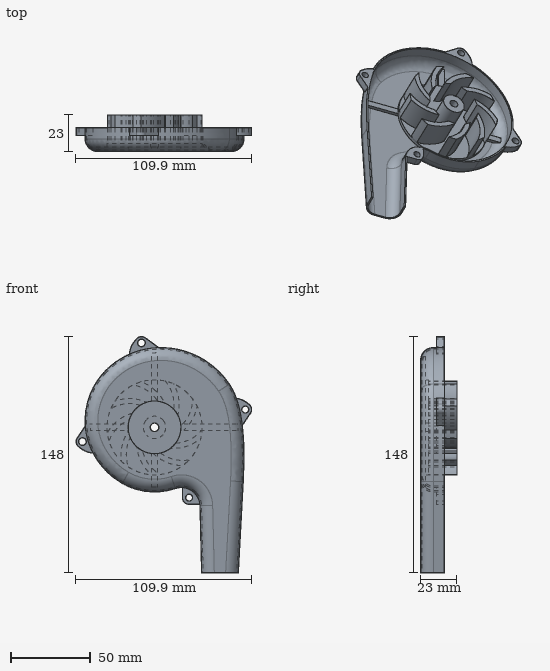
import cadquery as cq
import math


casing_depth = 15.0
wall = 1.0
front_round = 8.0
inlet_radius = 16.5
rib_width = 4.0
rib_height = 2.0
rib_length = 120.0

scroll_start_radius = 40.5
scroll_growth = 0.0715
scroll_start_angle = 240
scroll_end_angle = 30
spiral_turn = scroll_start_angle - scroll_end_angle
spiral_ease = 40
spiral_points = 20
outlet_end_z = -91.15
outlet_outer_x = 52.5
outer_wall_top_z = -34.0
outer_wall_slope = 0.054
bend_radius = 11.6
bend_center_x = 16.8
inner_wall_angle = math.radians(1.4)

ear_thickness = 5.0
ear_tip_radius = 4.0
ear_base_drop = 5.0
ear_root_drop = 8.0
ear_bulge = (-5.7, 0.1)
ear_bowed_base = 8.4
rim_ears = [(53.5, 98.8, 4.6), (46.0, 191.2, 4.6), (57.9, 11.1, 4.2)]
bend_ear_hole = (21.65, -44.0)
bend_ear_hole_diameter = 4.2
bend_ear_corner_radius = 4.25
bend_ear_size = 12.0

impeller_radius = 59.53 / 2
impeller_back = 23.0
impeller_front = wall + rib_height
backplate_thickness = 2.0
hub_diameter = 14.0
shaft_hole_diameter = 5.2
blade_count = 9
blade_root_radius = 16.5
blade_tip_angle = 36.8
blade_thickness = 3.2
blade_outer_arc = 26.4
blade_arc_distance = 17.85
blade_arc_angle = 51.1


def front_plane(y):
    """X-Z sketch plane at depth y; extruding by a negative length runs toward +Y."""
    return cq.Workplane("XZ", origin=(0, y, 0))


def polar(radius, degrees, center=(0, 0)):
    angle = math.radians(degrees)
    return (center[0] + radius * math.cos(angle), center[1] + radius * math.sin(angle))


def disc(radius, y_front, y_back):
    return front_plane(y_front).circle(radius).extrude(y_front - y_back)


def scroll_radius(angle):
    """Outer radius of the spiral: the growth builds up evenly, then stays constant."""
    turned = scroll_start_angle - angle
    if turned < spiral_ease:
        return scroll_start_radius + scroll_growth * turned**2 / (2 * spiral_ease)
    return scroll_start_radius + scroll_growth * (turned - spiral_ease / 2)


def scroll_outline(inset):
    """Closed scroll-and-duct outline, moved inward by inset except at the outlet end."""
    start_radius = scroll_start_radius - inset

    center_distance = scroll_start_radius + bend_radius
    bend_center = (bend_center_x, -math.sqrt(center_distance**2 - bend_center_x**2))
    contact_angle = math.degrees(math.atan2(bend_center[1], bend_center[0]))
    wall_degrees = math.degrees(inner_wall_angle)
    radius = bend_radius + inset
    bend_start = polar(radius, wall_degrees, bend_center)
    bend_middle = polar(radius, (wall_degrees + contact_angle + 180) / 2, bend_center)
    bend_end = polar(start_radius, contact_angle)
    inner_end_x = bend_start[0] + (bend_start[1] - outlet_end_z) * math.tan(inner_wall_angle)

    round_end = polar(start_radius, scroll_start_angle)
    round_middle = polar(start_radius, (contact_angle + scroll_start_angle - 360) / 2)

    def spiral(angle):
        return polar(scroll_radius(angle) - inset, angle)

    def spiral_point(turned):
        return (*spiral(scroll_start_angle - turned), 0)

    end_radius = scroll_radius(scroll_end_angle) - inset
    spiral_lead = math.degrees(math.atan(math.degrees(scroll_growth) / end_radius))
    spiral_end = spiral(scroll_end_angle)
    spiral_end_tangent = polar(1, scroll_end_angle - 90 + spiral_lead)
    wall_tangent = (-outer_wall_slope, -1)
    outer_top_x = outlet_outer_x - inset + outer_wall_slope * (outer_wall_top_z - outlet_end_z)
    outer_top = (outer_top_x, outer_wall_top_z)

    return (
        front_plane(0)
        .moveTo(inner_end_x, outlet_end_z)
        .lineTo(*bend_start)
        .threePointArc(bend_middle, bend_end)
        .threePointArc(round_middle, round_end)
        .parametricCurve(spiral_point, N=spiral_points, stop=spiral_turn, makeWire=False)
        .spline([spiral_end, outer_top], tangents=[spiral_end_tangent, wall_tangent])
        .lineTo(outlet_outer_x - inset, outlet_end_z)
        .close()
    )


def scroll_body(y_front, inset, edge_round):
    """Scroll from y_front to the casing back, its front edge rounded except across the outlet."""
    body = scroll_outline(inset).extrude(y_front - casing_depth).translate((0, y_front, 0))
    front_edges = body.faces("<Y").edges().filter(lambda edge: edge.BoundingBox().zmax > outlet_end_z + 1)
    return front_edges.fillet(edge_round)


def ear_plate(outline):
    return outline.extrude(-ear_thickness)


def rim_ear(hole_radius, angle):
    """Ear with one straight side and one bowed side, meeting in a round tip about the hole."""
    tip = ear_tip_radius / math.sqrt(2)
    straight_base = 2 * tip + ear_base_drop
    outline = (
        front_plane(casing_depth - ear_thickness)
        .transformed(rotate=(0, 0, angle - 90))
        .center(0, hole_radius)
        .moveTo(tip, tip)
        .threePointArc((0, ear_tip_radius), (-tip, tip))
        .threePointArc(ear_bulge, (-ear_bowed_base, -ear_base_drop))
        .lineTo(-ear_bowed_base, -ear_root_drop)
        .lineTo(straight_base, -ear_root_drop)
        .lineTo(straight_base, -ear_base_drop)
        .close()
    )
    return ear_plate(outline)


def bend_ear():
    """Square ear with one round corner, filling the bend between scroll and duct."""
    left = bend_ear_hole[0] - bend_ear_corner_radius
    bottom = bend_ear_hole[1] - bend_ear_corner_radius
    corner = polar(bend_ear_corner_radius, 225, bend_ear_hole)
    outline = (
        front_plane(casing_depth - ear_thickness)
        .moveTo(left, bottom + bend_ear_size)
        .lineTo(left, bend_ear_hole[1])
        .threePointArc(corner, (bend_ear_hole[0], bottom))
        .lineTo(left + bend_ear_size, bottom)
        .lineTo(left + bend_ear_size, bottom + bend_ear_size)
        .close()
    )
    return ear_plate(outline)


def ear_hole(center, diameter):
    return disc(diameter / 2, 0, casing_depth).translate((center[0], 0, center[1]))


def inlet_ribs(cavity):
    """Four ribs inside the front wall, running out from the inlet to the casing sides."""
    ribs = front_plane(wall).rect(rib_length, rib_width).extrude(-rib_height)
    ribs = ribs.union(front_plane(wall).rect(rib_width, rib_length).extrude(-rib_height))
    return ribs.intersect(cavity)


def make_casing():
    casing = scroll_body(0, 0, front_round)
    for hole_radius, angle, _ in rim_ears:
        casing = casing.union(rim_ear(hole_radius, angle))
    casing = casing.union(bend_ear())
    cavity = scroll_body(wall, wall, front_round - wall)
    casing = casing.cut(cavity).union(inlet_ribs(cavity))
    casing = casing.cut(disc(inlet_radius, 0, impeller_front))
    for hole_radius, angle, diameter in rim_ears:
        casing = casing.cut(ear_hole(polar(hole_radius, angle), diameter))
    return casing.cut(ear_hole(bend_ear_hole, bend_ear_hole_diameter))


def blade_point(radius, side_arc, tip_angle):
    """Point on one side of a blade at the given radius about the impeller axis."""
    cosine = (blade_arc_distance**2 + radius**2 - side_arc**2) / (2 * blade_arc_distance * radius)
    return polar(radius, tip_angle + blade_arc_angle - math.degrees(math.acos(cosine)))


def impeller_blade(tip_angle):
    """Curved blade between two concentric arcs, cut off at the impeller rim."""
    inner_arc = blade_outer_arc - blade_thickness
    middle_radius = (blade_root_radius + impeller_radius) / 2
    outer_tip = blade_point(impeller_radius, blade_outer_arc, tip_angle)
    inner_tip = blade_point(impeller_radius, inner_arc, tip_angle)
    tip_middle = blade_point(impeller_radius, blade_outer_arc - blade_thickness / 2, tip_angle)
    return (
        front_plane(impeller_front)
        .moveTo(*blade_point(blade_root_radius, blade_outer_arc, tip_angle))
        .threePointArc(blade_point(middle_radius, blade_outer_arc, tip_angle), outer_tip)
        .threePointArc(tip_middle, inner_tip)
        .threePointArc(
            blade_point(middle_radius, inner_arc, tip_angle),
            blade_point(blade_root_radius, inner_arc, tip_angle),
        )
        .close()
        .extrude(impeller_front - impeller_back)
    )


def make_impeller():
    impeller = disc(impeller_radius, impeller_front, impeller_front + backplate_thickness)
    for index in range(blade_count):
        impeller = impeller.union(impeller_blade(blade_tip_angle + index * 360 / blade_count))
    impeller = impeller.union(disc(hub_diameter / 2, impeller_front, impeller_back))
    return impeller.cut(disc(shaft_hole_diameter / 2, 0, impeller_back))


casing = make_casing()
impeller = make_impeller()
result = cq.Compound.makeCompound([casing.val(), impeller.val()])